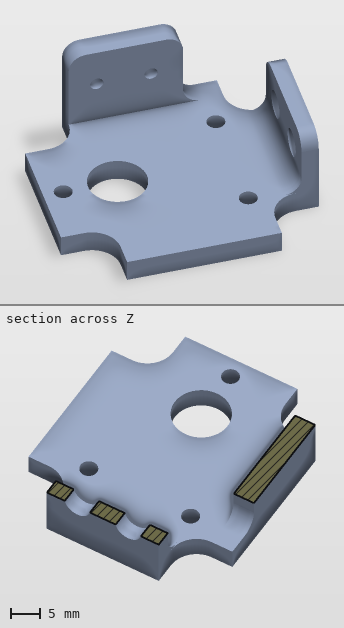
import cadquery as cq

plate_width = 40.0
plate_length = 45.0
plate_thickness = 4.0
tab_width = 22.0
notch_length = 9.0
notch_width = (plate_width - tab_width) / 2
notch_radius = 5.0

wall_radius = 3.0

back_thickness = 3.0
back_height = 16.0
back_hole_diameter = 5.0
back_hole_spacing = 10.0
back_hole_z = 10.0

side_thickness = 4.0
side_length = 20.0
side_height = 19.0
side_hole_diameter = 2.3
side_hole_spacing = 9.5
side_hole_z = 12.0
first_side_hole_offset = 4.9

bore_diameter = 10.3
bore_y = 13.0
screw_hole_diameter = 3.2
rear_screw_spacing = 20.0
rear_screw_y = 33.0
front_screw_y = 3.5

left_x = -plate_width / 2


def make_plate():
    """Cross-shaped plate with rounded inner corners."""
    body = cq.Workplane("XY").box(
        plate_width, plate_length - 2 * notch_length, plate_thickness, centered=(True, True, False)
    )
    tabs = cq.Workplane("XY").box(tab_width, plate_length, plate_thickness, centered=(True, True, False))
    reach_x = (tab_width + notch_width) / 2
    reach_y = (plate_length - notch_length) / 2
    inner_corners = cq.selectors.BoxSelector(
        (-reach_x, -reach_y, 0),
        (reach_x, reach_y, plate_thickness),
    )
    plate = body.union(tabs).edges("|Z").edges(inner_corners).fillet(notch_radius)
    return plate.translate((0, plate_length / 2, 0))


def make_back_wall():
    """Wall across the rear tab, with rounded top corners and a filleted foot."""
    wall = (
        cq.Workplane("XY")
        .box(tab_width, back_thickness, back_height, centered=(True, False, False))
        .translate((0, plate_length - back_thickness, 0))
        .edges("|Y and >Z")
        .fillet(wall_radius)
    )
    foot_y = plate_length - back_thickness
    foot = (
        cq.Workplane("YZ", origin=(-tab_width / 2, 0, 0))
        .moveTo(foot_y, plate_thickness)
        .lineTo(foot_y, plate_thickness + wall_radius)
        .radiusArc((foot_y - wall_radius, plate_thickness), wall_radius)
        .close()
        .extrude(tab_width)
    )
    holes = (
        cq.Workplane("XZ", origin=(0, plate_length, back_hole_z))
        .rarray(back_hole_spacing, 0.45, 2, 1)
        .circle(back_hole_diameter / 2)
        .extrude(back_thickness + wall_radius)
    )
    return wall.union(foot).cut(holes)


def make_side_wall():
    """Wall on the left edge, with rounded top corners and a fillet at its rear foot."""
    front_y = notch_length
    rear_y = front_y + side_length
    wall = (
        cq.Workplane("XY")
        .box(side_thickness, side_length, side_height, centered=False)
        .translate((left_x, front_y, 0))
        .edges("|X and >Z")
        .fillet(wall_radius)
    )
    foot = (
        cq.Workplane("YZ", origin=(left_x, 0, 0))
        .moveTo(rear_y, plate_thickness)
        .lineTo(rear_y, plate_thickness + wall_radius)
        .radiusArc((rear_y + wall_radius, plate_thickness), -wall_radius)
        .close()
        .extrude(side_thickness)
    )
    first_hole_y = front_y + first_side_hole_offset
    holes = (
        cq.Workplane("YZ", origin=(left_x, 0, 0))
        .pushPoints([(first_hole_y, side_hole_z), (first_hole_y + side_hole_spacing, side_hole_z)])
        .circle(side_hole_diameter / 2)
        .extrude(side_thickness)
    )
    return wall.union(foot).cut(holes)


def make_plate_holes():
    """Main bore and three screw holes through the plate."""
    bore = cq.Workplane("XY").center(0, bore_y).circle(bore_diameter / 2).extrude(plate_thickness)
    screw_points = [
        (-rear_screw_spacing / 2, rear_screw_y),
        (rear_screw_spacing / 2, rear_screw_y),
        (0, front_screw_y),
    ]
    screws = (
        cq.Workplane("XY")
        .pushPoints(screw_points)
        .circle(screw_hole_diameter / 2)
        .extrude(plate_thickness)
    )
    return bore.union(screws)


result = make_plate().union(make_back_wall()).union(make_side_wall()).cut(make_plate_holes())